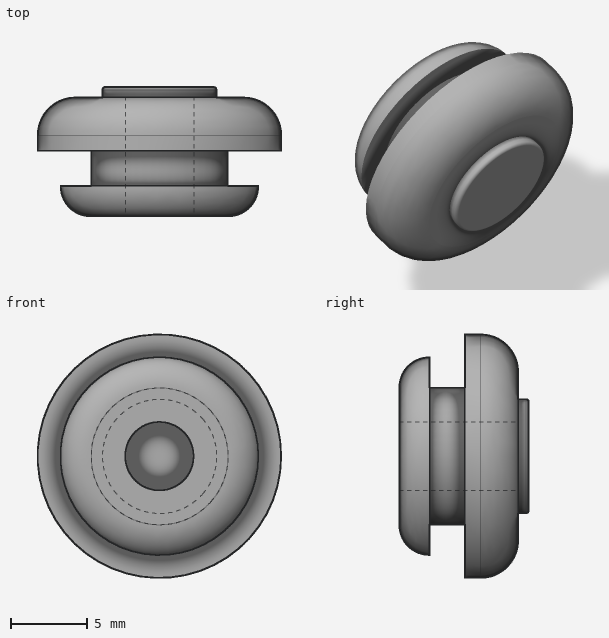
import cadquery as cq

total_length = 8.5
front_flange_diameter = 13.0
front_flange_thickness = 2.0
neck_diameter = 9.0
neck_length = 2.3
rear_flange_diameter = 16.0
rear_flange_thickness = 3.5
rear_flange_round = 2.5
boss_diameter = 7.5
boss_round = 0.2
bore_diameter = 4.5

neck_start = front_flange_thickness
rear_flange_start = neck_start + neck_length
boss_start = rear_flange_start + rear_flange_thickness
boss_length = total_length - boss_start
bore_depth = boss_start


def disc(diameter, start, length):
    """Cylinder along +Y beginning at the given Y position."""
    plane = cq.Plane(origin=(0, start, 0), xDir=(1, 0, 0), normal=(0, 1, 0))
    return cq.Workplane(plane).circle(diameter / 2).extrude(length)


def rounded_front_flange():
    radius = front_flange_diameter / 2
    round_radius = front_flange_thickness
    flat_radius = radius - round_radius
    diagonal = round_radius * 0.5 ** 0.5
    profile = (
        cq.Workplane("XY")
        .lineTo(flat_radius, 0)
        .threePointArc((flat_radius + diagonal, round_radius - diagonal), (radius, round_radius))
        .lineTo(0, front_flange_thickness)
        .close()
    )
    return profile.revolve(360, (0, 0, 0), (0, 1, 0))


front_flange = rounded_front_flange()
neck = disc(neck_diameter, neck_start, neck_length)
rear_flange = disc(rear_flange_diameter, rear_flange_start, rear_flange_thickness)
rear_flange = rear_flange.faces(">Y").edges().fillet(rear_flange_round)
boss = disc(boss_diameter, boss_start, boss_length).faces(">Y").edges().fillet(boss_round)
bore = disc(bore_diameter, 0, bore_depth)

result = front_flange.union(neck).union(rear_flange).union(boss).cut(bore)